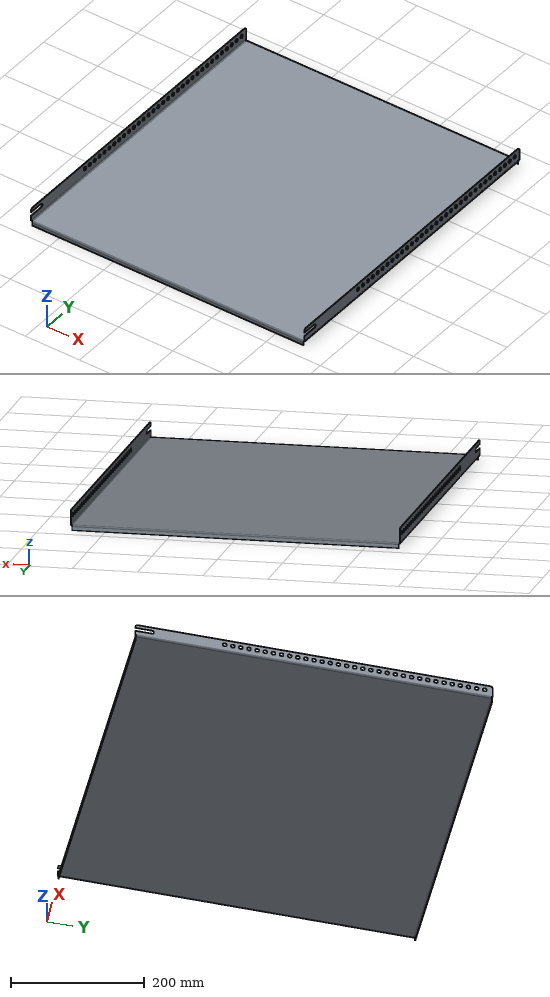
import cadquery as cq

width = 506.0
depth = 550.0
height = 31.5

sheet = 1.5
inner_bend = 0.5
outer_bend = inner_bend + sheet
lip_drop = 6.5

corner_clearance = 0.5
relief_depth = outer_bend
relief_height = outer_bend + corner_clearance
lip_inset = outer_bend + corner_clearance

wall_corner = 5.0
hole_diameter = 6.5
hole_pitch = 12.5
hole_count = 33
hole_drop = 10.0
slot_length = 29.0
slot_width = 6.5

half_width = width / 2
half_depth = depth / 2
floor_bottom = lip_drop
hole_height = height - hole_drop
slot_radius = slot_width / 2
floor_top = floor_bottom + sheet


def channel_tray():
    """Floor with the two side walls bent upwards, with rounded upper corners."""
    wall_height = height - floor_bottom
    outside = (
        cq.Workplane("XY", origin=(0, 0, floor_bottom))
        .box(width, depth, wall_height, centered=(True, True, False))
        .edges("|Y and <Z")
        .fillet(outer_bend)
    )
    inside = (
        cq.Workplane("XY", origin=(0, 0, floor_top))
        .box(width - 2 * sheet, depth, wall_height, centered=(True, True, False))
        .edges("|Y and <Z")
        .fillet(inner_bend)
    )
    tray = outside.cut(inside)
    return tray.edges("|X and >Z").fillet(wall_corner).cut(corner_reliefs())


def corner_reliefs():
    """Blocks that end the side bends, below the straight walls, where the end lips begin to bend."""
    return (
        cq.Workplane("XY", origin=(0, 0, floor_bottom))
        .pushPoints([(0, half_depth - relief_depth / 2), (0, -half_depth + relief_depth / 2)])
        .box(width, relief_depth, relief_height, centered=(True, True, False))
    )


def end_lips():
    """Floor strip with a lip bent downwards at each Y end."""
    lip_width = width - 2 * lip_inset
    outside = (
        cq.Workplane("XY")
        .box(lip_width, depth, floor_top, centered=(True, True, False))
        .edges("|X and >Z")
        .fillet(outer_bend)
    )
    inside = (
        cq.Workplane("XY")
        .box(lip_width, depth - 2 * sheet, floor_bottom, centered=(True, True, False))
        .edges("|X and >Z")
        .fillet(inner_bend)
    )
    return outside.cut(inside)


def wall_holes():
    """Row of round holes through both walls, starting one pitch from the back end."""
    first_hole = half_depth - hole_pitch
    centres = [(first_hole - i * hole_pitch, hole_height) for i in range(hole_count)]
    return (
        cq.Workplane("YZ")
        .pushPoints(centres)
        .circle(hole_diameter / 2)
        .extrude(half_width, both=True)
    )


def wall_slots():
    """Round-ended slot through both walls, open at the front end."""
    slot_end = -half_depth + slot_length - slot_radius
    return (
        cq.Workplane("YZ")
        .moveTo(-half_depth, hole_height - slot_radius)
        .lineTo(slot_end, hole_height - slot_radius)
        .threePointArc((slot_end + slot_radius, hole_height), (slot_end, hole_height + slot_radius))
        .lineTo(-half_depth, hole_height + slot_radius)
        .close()
        .extrude(half_width, both=True)
    )


result = channel_tray().union(end_lips()).cut(wall_holes()).cut(wall_slots())